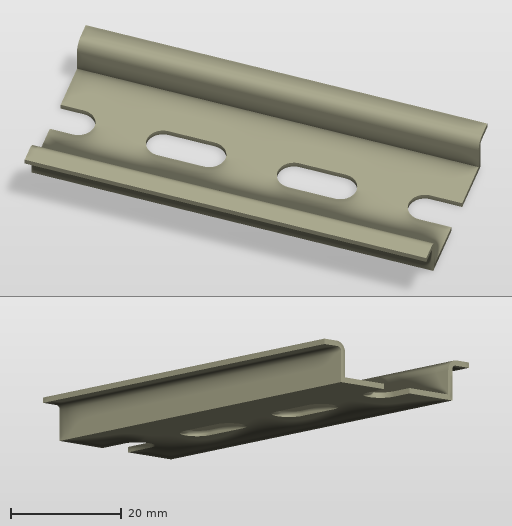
import cadquery as cq

length = 76.7
overall_width = 35.0
height = 7.5
thickness = 1.0
channel_width = 27.0
inner_bend_radius = 0.8
outer_bend_radius = 2.0

slot_length = 15.0
slot_width = 6.2
slot_pitch = 25.0
slot_count = 4
slot_row_offset = -0.85


def make_rail():
    """Extrude the hat section: sharp corners at the floor, round bends at the flanges."""
    flange_tip = overall_width / 2
    wall_outside = channel_width / 2
    wall_inside = wall_outside - thickness
    flange_underside = height - thickness

    half_section = (
        cq.Workplane("YZ", origin=(-length / 2, 0, 0))
        .lineTo(wall_outside, 0)
        .lineTo(wall_outside, flange_underside - inner_bend_radius)
        .radiusArc((wall_outside + inner_bend_radius, flange_underside), inner_bend_radius)
        .lineTo(flange_tip, flange_underside)
        .lineTo(flange_tip, height)
        .lineTo(wall_inside + outer_bend_radius, height)
        .radiusArc((wall_inside, height - outer_bend_radius), -outer_bend_radius)
        .lineTo(wall_inside, thickness)
        .lineTo(0, thickness)
        .close()
    )
    half_rail = half_section.extrude(length)
    return half_rail.union(half_rail.mirror("XZ")).clean()


def make_slots():
    """Cutters for the row of round-ended slots through the floor."""
    row = cq.Workplane("XY").center(slot_row_offset, 0)
    return row.rarray(slot_pitch, 0.8, slot_count, 1).slot2D(slot_length, slot_width).extrude(thickness)


result = make_rail().cut(make_slots())